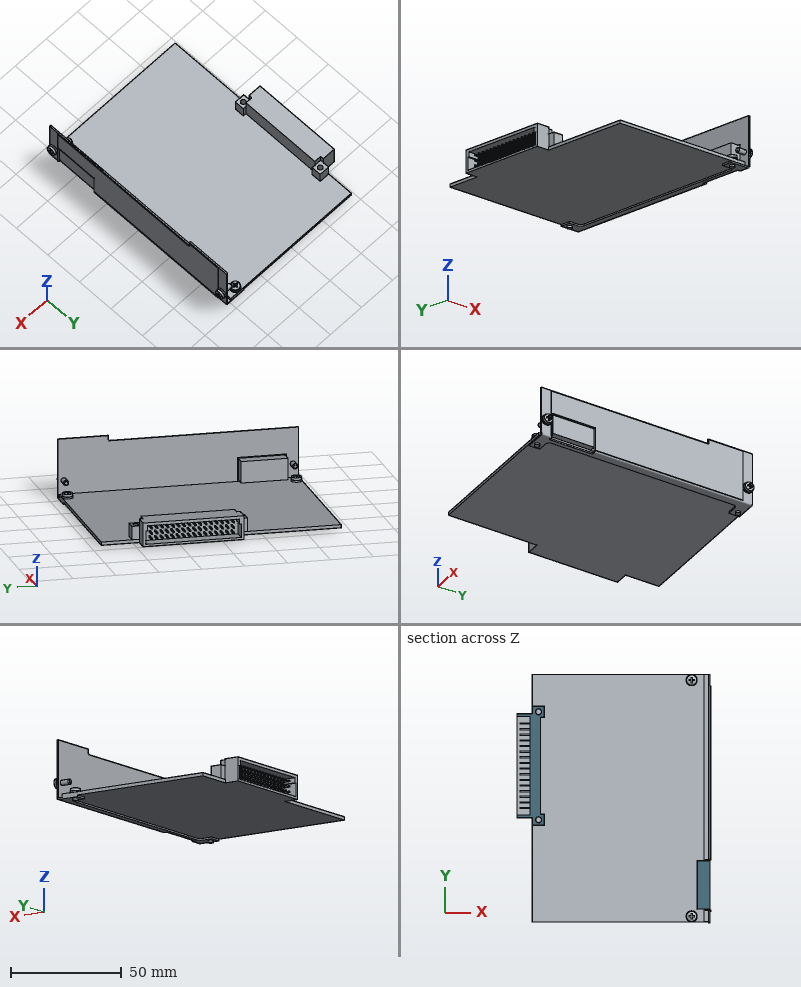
import cadquery as cq

overall_width = 112.2
overall_height = 28.6
y_max = overall_width / 2

sheet = 0.8
panel_inner_x = 86.5
panel_outer_x = panel_inner_x + sheet
board_bottom_z = 1.7
bracket_bottom_z = board_bottom_z - sheet
bend_radius = 0.8
panel_step_y = y_max - 23.5
panel_step_drop = 2.5
panel_step_fillet = 0.8
lip_overhang = 0.5
lip_y_min = -y_max + lip_overhang
lip_start_x = 83.0
tab_start_x = 76.0
tab_width = 5.6
tab_fillet = 2.0

label_thickness = 0.3
label_top_inset = 0.3
label_end_inset = 5.2
label_bottom_z = 1.7

board_start_x = 7.0
board_overhang = 0.3
board_end_x = 84.5
board_thickness = 1.6
board_top_z = board_bottom_z + board_thickness
board_y_min = -y_max + board_overhang

block_start_x = 81.4
block_y_min = -49.9
block_width = 21.9
block_top_z = 13.3
window_gap = 0.41
window_start_x = 85.1

connector_y = 14.8
connector_width = 47.1
connector_top_z = 12.9
shell_end_x = 7.1
connector_rear_x = 10.8
socket_wall = 1.3
socket_bottom_z = 2.8
socket_top_z = 11.4
socket_depth = 6.0
shoulder_width = 0.8
shoulder_z = 9.1
ear_span = 53.8
ear_width = 5.0
ear_end_x = 12.5
ear_top_z = 9.5
ear_hole_diameter = 2.6
ear_hole_x = 9.9
ear_hole_spacing = 48.8
pin_columns = 16
pin_rows = 3
pin_pitch = 2.55
pin_size = 0.6
pin_tip_x = 1.3
pin_middle_z = 7.2

washer_diameter = 5.0
washer_thickness = 0.8
head_diameter = 4.6
head_height = 1.8
head_dome_height = 0.6
recess_length = 2.5
recess_width = 0.6
recess_depth = 0.9
shank_diameter = 2.5
shank_chamfer = 0.5
board_screw_x = 79.0
board_screw_inset = 2.6
panel_screw_inset = 2.7
panel_screw_z = 9.1
panel_screw_tip_x = 81.8


def block(x, y, z):
    """Box given by its (start, end) limits along each axis."""
    size = (x[1] - x[0], y[1] - y[0], z[1] - z[0])
    return cq.Workplane("XY").box(*size, centered=False).translate((x[0], y[0], z[0]))


def stepped_sheet(x_start, thickness, end_inset, top_inset, bottom_z):
    """Upright sheet whose top edge steps down toward -Y."""
    top_z = overall_height - top_inset
    low_z = top_z - panel_step_drop
    step_y = panel_step_y + top_inset
    return (
        cq.Workplane("YZ", origin=(x_start, 0, 0))
        .moveTo(-y_max + end_inset, bottom_z)
        .lineTo(y_max - end_inset, bottom_z)
        .lineTo(y_max - end_inset, top_z)
        .lineTo(step_y, top_z)
        .lineTo(step_y, low_z + panel_step_fillet)
        .radiusArc((step_y - panel_step_fillet, low_z), panel_step_fillet)
        .lineTo(-y_max + end_inset, low_z)
        .close()
        .extrude(thickness)
    )


def make_lip():
    """Bottom lip with a tab at each end, blended into it by a concave corner."""
    left_tab_y = lip_y_min + tab_width
    right_tab_y = y_max - tab_width
    corner_x = lip_start_x - tab_fillet
    lip = (
        cq.Workplane("XY", origin=(0, 0, bracket_bottom_z))
        .moveTo(panel_outer_x, lip_y_min)
        .lineTo(tab_start_x, lip_y_min)
        .lineTo(tab_start_x, left_tab_y)
        .lineTo(corner_x, left_tab_y)
        .radiusArc((lip_start_x, left_tab_y + tab_fillet), -tab_fillet)
        .lineTo(lip_start_x, right_tab_y - tab_fillet)
        .radiusArc((corner_x, right_tab_y), -tab_fillet)
        .lineTo(tab_start_x, right_tab_y)
        .lineTo(tab_start_x, y_max)
        .lineTo(panel_outer_x, y_max)
        .close()
        .extrude(sheet)
    )
    bend_edge = cq.selectors.NearestToPointSelector((panel_outer_x, 0, bracket_bottom_z))
    bend_column = block(
        (panel_inner_x, panel_outer_x),
        (lip_y_min, y_max),
        (board_bottom_z, board_bottom_z + bend_radius),
    )
    return lip.union(bend_column).edges(bend_edge).fillet(bend_radius)


def make_bracket():
    panel = stepped_sheet(panel_inner_x, sheet, 0, 0, board_bottom_z)
    label = stepped_sheet(
        panel_outer_x, label_thickness, label_end_inset, label_top_inset, label_bottom_z
    )
    window = block(
        (window_start_x, panel_outer_x + label_thickness),
        (block_y_min - window_gap, block_y_min + block_width + window_gap),
        (0, block_top_z + window_gap),
    )
    return panel.union(make_lip()).union(label).cut(window)


def make_connector():
    half_width = connector_width / 2
    half_socket = half_width - socket_wall
    half_upper = half_socket - shoulder_width
    half_ears = ear_span / 2
    half_rear = half_ears - ear_width

    def across(half):
        return (connector_y - half, connector_y + half)

    body = block((0, shell_end_x), across(half_width), (board_bottom_z, connector_top_z))
    rear = block((shell_end_x, connector_rear_x), across(half_rear), (board_top_z, connector_top_z))
    lower_socket = block((0, socket_depth), across(half_socket), (socket_bottom_z, shoulder_z))
    upper_socket = block((0, socket_depth), across(half_upper), (socket_bottom_z, socket_top_z))
    ears = block((shell_end_x, ear_end_x), across(half_ears), (board_top_z, ear_top_z)).cut(
        block((shell_end_x, ear_end_x), across(half_rear), (board_top_z, ear_top_z))
    )
    ear_holes = (
        cq.Workplane("XY", origin=(ear_hole_x, connector_y, board_top_z))
        .rarray(1.1, ear_hole_spacing, 1, 2)
        .circle(ear_hole_diameter / 2)
        .extrude(ear_top_z - board_top_z)
    )
    pins = (
        cq.Workplane("YZ", origin=(pin_tip_x, connector_y, pin_middle_z))
        .rarray(pin_pitch, pin_pitch, pin_columns, pin_rows)
        .rect(pin_size, pin_size)
        .extrude(socket_depth - pin_tip_x)
    )
    socket = lower_socket.union(upper_socket)
    return body.cut(socket).union(rear).union(ears.cut(ear_holes)).union(pins)


def make_screw(shank_length):
    """Flat-ended screw along Z, shank downward, with the washer's bearing face at Z = 0."""
    head_top = washer_thickness + head_height
    head_radius = head_diameter / 2
    dome_radius = (head_radius**2 + head_dome_height**2) / (2 * head_dome_height)
    washer = cq.Workplane("XY").circle(washer_diameter / 2).extrude(washer_thickness)
    head = (
        cq.Workplane("XZ", origin=(0, 0, washer_thickness))
        .lineTo(head_radius, 0)
        .lineTo(head_radius, head_height - head_dome_height)
        .radiusArc((0, head_height), -dome_radius)
        .close()
        .revolve(360, (0, 0, 0), (0, 1, 0))
    )
    recess_plane = cq.Workplane("XY", origin=(0, 0, head_top - recess_depth))
    recess = recess_plane.rect(recess_length, recess_width).extrude(recess_depth)
    recess = recess.union(recess_plane.rect(recess_width, recess_length).extrude(recess_depth))
    shank = cq.Workplane("XY").circle(shank_diameter / 2).extrude(-shank_length)
    return washer.union(head).cut(recess).union(shank)


board = block((board_start_x, board_end_x), (board_y_min, y_max), (board_bottom_z, board_top_z))
window_block = block(
    (block_start_x, panel_outer_x),
    (block_y_min, block_y_min + block_width),
    (board_top_z, block_top_z),
)
result = make_bracket().union(board).union(window_block).union(make_connector())

board_screw = make_screw(board_top_z)
panel_screw = make_screw(panel_outer_x - panel_screw_tip_x).faces("<Z").chamfer(shank_chamfer)
panel_screw = panel_screw.rotate((0, 0, 0), (0, 1, 0), 90)
for screw_y in (board_y_min + board_screw_inset, y_max - board_screw_inset):
    result = result.union(board_screw.translate((board_screw_x, screw_y, board_top_z)))
for screw_y in (-y_max + panel_screw_inset, y_max - panel_screw_inset):
    result = result.union(panel_screw.translate((panel_outer_x, screw_y, panel_screw_z)))